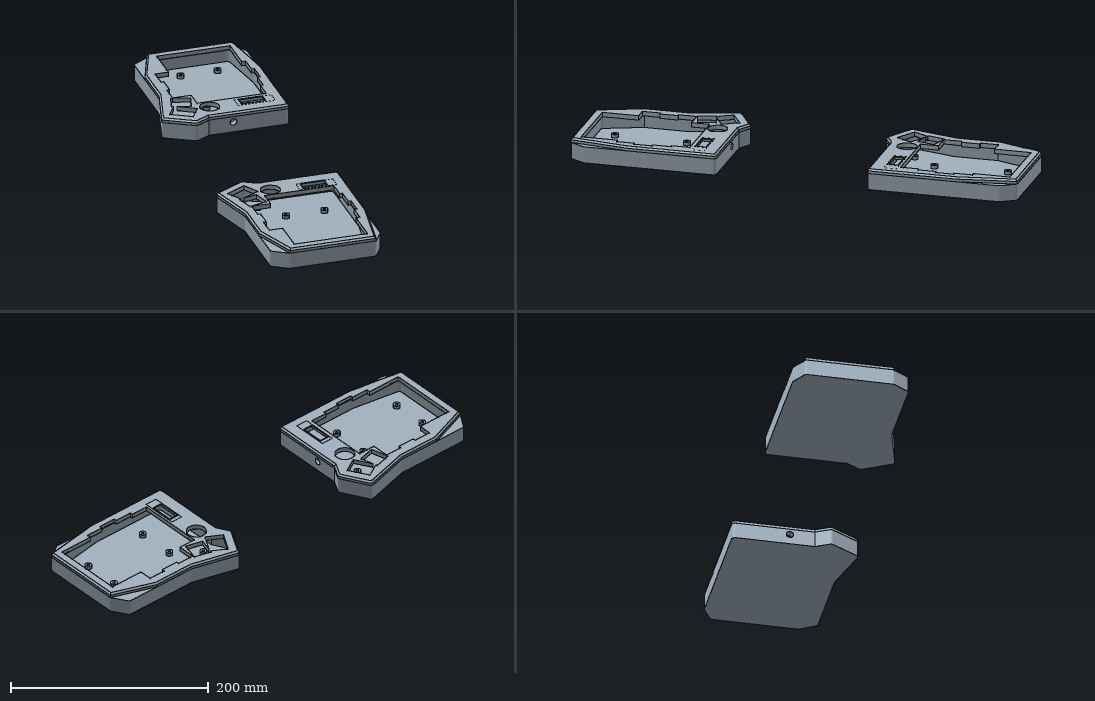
import cadquery as cq
overall_length = 469.0
total_height = 22.0
lid_height = 4.5
tray_height = total_height - lid_height
floor_height = 4.0
wall = 8.0
corner_radius = 3.8
top_chamfer = 2.0

west = -overall_length / 2
north = 66.0
south = -52.5
east = -79.2
cut_top_north = (-218.0, north)
cut_top_west = (west, 56.5)
cut_bottom_west = (west, -35.0)
cut_bottom_south = (-223.5, south)
thumb_start = (-140.5, south)
thumb_foot = (-88.5, -66.5)
thumb_tip = (-71.0, -34.5)
waist = (east, -19.0)

lid_cut_north = (-172.5, north)
lid_cut_south = (-187.0, south)

shared_outline = [(east, north), waist, thumb_tip, thumb_foot, thumb_start]
tray_outline = [cut_top_north, *shared_outline, cut_bottom_south, cut_bottom_west, cut_top_west]
lid_outline = [lid_cut_north, *shared_outline, lid_cut_south, cut_bottom_west, cut_top_west]

tray_round_corners = [
    cut_top_north, (east, north), thumb_tip, thumb_foot,
    cut_bottom_south, cut_bottom_west, cut_top_west,
]
lid_round_corners = [(east, north), thumb_tip, thumb_foot]
pocket_round_corners = [cut_top_west, (east, north), thumb_tip, thumb_foot, cut_bottom_west]
corner_reach = 0.5
pocket_corner_reach = 1.6 * wall

field_west = -225.0
field_width = 114.5
column_count = 6
key_pitch = field_width / column_count
column_lines = [field_west + key_pitch * n for n in (0, 2, 3, 4, 5, 6)]
column_step = 2.95
middle_north = 54.5
middle_south = -41.5
north_edges = [50.0, middle_north, middle_north + column_step, middle_north, middle_north - column_step]
south_edges = [-27.5, middle_south, middle_south + column_step, middle_south, -22.0]

knob_diameter = 20.0
knob_center = (-99.5, -12.0)
slot_center = (-101.0, 33.5)
slot_size = (11.3, 25.5)
slot_relief_center = (-101.0, 36.0)
slot_relief_size = (13.0, 39.5)
slot_relief_skin = 1.0
inner_thumb_center = (-117.5, -36.5)
inner_thumb_size = (key_pitch, 20.0)
inner_thumb_turn = -15.0
outer_thumb_center = (-97.0, -41.0)
outer_thumb_size = (key_pitch, 24.5)
outer_thumb_turn = -30.0

boss_diameter = 7.0
boss_height = 3.5
boss_hole_diameter = 2.5
boss_centers = [(-206.5, 31.0), (-130.0, 35.0), (-130.0, -5.5), (-206.5, -8.5), (-103.0, -27.0)]
jack_diameter = 7.0
jack_center_y = 6.5
jack_center_z = 11.3


def prism(points, bottom, height):
    """Straight-sided solid over a closed outline."""
    return cq.Workplane("XY").workplane(offset=bottom).polyline(points).close().extrude(height)


def round_corners(body, corners, reach):
    """Round the upright edges that lie within reach of the given corners."""
    selector = None
    for x, y in corners:
        box = cq.selectors.BoxSelector(
            (x - reach, y - reach, 0),
            (x + reach, y + reach, 2 * total_height),
        )
        selector = box if selector is None else selector + box
    return body.edges("|Z").edges(selector).fillet(corner_radius)


def tray_pocket():
    """Inside of the tray: the lid outline moved inward by the wall thickness."""
    pocket = (
        cq.Workplane("XY")
        .workplane(offset=floor_height)
        .polyline(lid_outline)
        .close()
        .offset2D(-wall, "intersection")
        .extrude(tray_height)
    )
    return round_corners(pocket, pocket_round_corners, pocket_corner_reach)


def screw_bosses():
    """Hollow bosses that stand on the tray floor."""
    return (
        cq.Workplane("XY")
        .workplane(offset=floor_height)
        .pushPoints(boss_centers)
        .circle(boss_diameter / 2)
        .circle(boss_hole_diameter / 2)
        .extrude(boss_height)
    )


def jack_hole():
    """Round hole through the wall that faces the other half."""
    return (
        cq.Workplane("YZ")
        .workplane(offset=east - 2 * wall)
        .center(jack_center_y, jack_center_z)
        .circle(jack_diameter / 2)
        .extrude(4 * wall)
    )


def make_tray():
    body = prism(tray_outline, 0, tray_height)
    body = round_corners(body, tray_round_corners, corner_reach)
    return body.cut(tray_pocket()).union(screw_bosses()).cut(jack_hole())


def key_field():
    """Stepped opening over the main keys."""
    north_side = []
    south_side = []
    for n, (north_edge, south_edge) in enumerate(zip(north_edges, south_edges)):
        left = column_lines[n]
        right = column_lines[n + 1]
        north_side += [(left, north_edge), (right, north_edge)]
        south_side += [(left, south_edge), (right, south_edge)]
    return prism(north_side + south_side[::-1], tray_height, lid_height)


def lid_opening(center, size, turn=0.0, height=lid_height):
    """Rectangular opening that starts at the underside of the lid."""
    return (
        cq.Workplane("XY")
        .rect(*size)
        .extrude(height)
        .rotate((0, 0, 0), (0, 0, 1), turn)
        .translate((*center, tray_height))
    )


def knob_opening():
    return (
        cq.Workplane("XY")
        .workplane(offset=tray_height)
        .center(*knob_center)
        .circle(knob_diameter / 2)
        .extrude(lid_height)
    )


def make_lid():
    body = prism(lid_outline, tray_height, lid_height)
    body = round_corners(body, lid_round_corners, corner_reach)
    body = body.faces(">Z").edges().chamfer(top_chamfer)
    openings = [
        key_field(),
        knob_opening(),
        lid_opening(slot_center, slot_size),
        lid_opening(slot_relief_center, slot_relief_size, height=lid_height - slot_relief_skin),
        lid_opening(inner_thumb_center, inner_thumb_size, inner_thumb_turn),
        lid_opening(outer_thumb_center, outer_thumb_size, outer_thumb_turn),
    ]
    for opening in openings:
        body = body.cut(opening)
    return body


bodies = []
for half_body in (make_tray(), make_lid()):
    bodies.append(half_body.val())
    bodies.append(half_body.mirror("YZ").val())

result = cq.Compound.makeCompound(bodies)